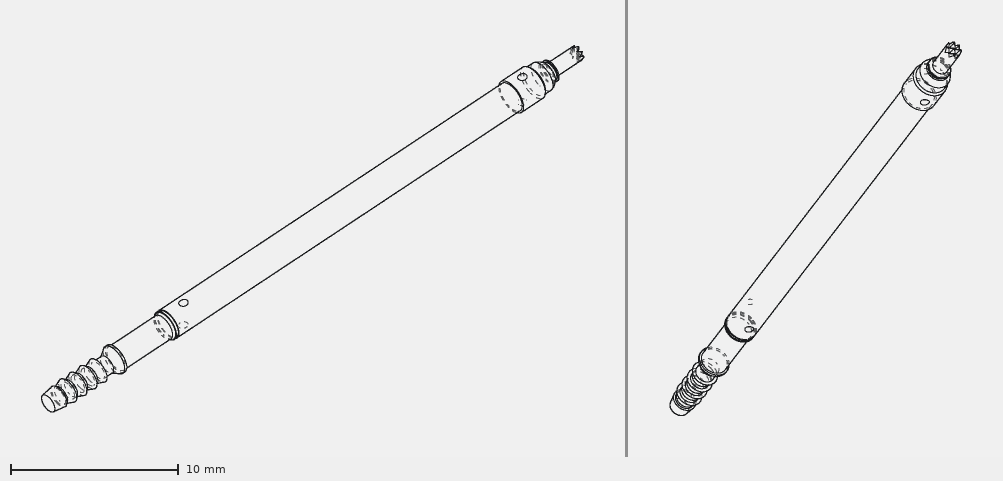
import cadquery as cq

length = 42.7
tip_y = length / 2
tail_y = -length / 2

plunger_dia = 1.0
nose_dia = 1.45
nose_groove_dia = 1.25
barrel_dia = 1.95
collar_dia = 2.2
barrel_groove_dia = 1.85
sleeve_dia = 1.65
bead_dia = 1.92
neck_dia = 1.2
barb_dia = 1.62
tail_rim_dia = 1.45
tail_dia = 1.2

nose_front = 2.15
nose_chamfer = 0.1
nose_ring_width = 0.1
nose_groove_width = 0.2
nose_dome_length = 0.43
nose_dome_bulge = 0.05
collar_front = 3.67
collar_chamfer = 0.13
collar_back = 5.42
barrel_back = 33.05
barrel_groove_width = 0.2
barrel_end_chamfer = 0.15
bead_front = 37.25
bead_width = 0.15
neck_front = 37.95
first_barb = 38.7
barb_pitch = 0.8
barb_taper = 0.55
barb_count = 4
tail_rim = 41.85

tooth_pitch = 0.4
tooth_groove_width = 0.3
tooth_depth = 0.3

dimple_dia = 0.6
dimple_depth = 0.13
collar_dimple = 4.53
barrel_dimple = 31.8


def at(station, diameter):
    """Profile point in the YZ plane, on the surface of the given diameter."""
    return (tip_y - station, diameter / 2)


def make_body():
    ring_front = nose_front + nose_chamfer
    ring_back = ring_front + nose_ring_width
    nose_back = ring_back + nose_groove_width
    groove_back = barrel_back + barrel_groove_width

    profile = (
        cq.Workplane("YZ")
        .moveTo(*at(0, 0))
        .lineTo(*at(0, plunger_dia))
        .lineTo(*at(nose_front, plunger_dia))
        .lineTo(*at(ring_front, nose_dia))
        .lineTo(*at(ring_back, nose_dia))
        .lineTo(*at(ring_back, nose_groove_dia))
        .lineTo(*at(nose_back, nose_groove_dia))
        .lineTo(*at(nose_back, nose_dia))
        .sagittaArc(at(nose_back + nose_dome_length, barrel_dia), -nose_dome_bulge)
        .lineTo(*at(collar_front - collar_chamfer, barrel_dia))
        .lineTo(*at(collar_front, collar_dia))
        .lineTo(*at(collar_back, collar_dia))
        .lineTo(*at(collar_back, barrel_dia))
        .lineTo(*at(barrel_back, barrel_dia))
        .lineTo(*at(barrel_back, barrel_groove_dia))
        .lineTo(*at(groove_back, barrel_groove_dia))
        .lineTo(*at(groove_back, barrel_dia))
        .lineTo(*at(groove_back + barrel_end_chamfer, sleeve_dia))
        .lineTo(*at(bead_front, sleeve_dia))
        .lineTo(*at(bead_front, bead_dia))
        .lineTo(*at(bead_front + bead_width, bead_dia))
        .lineTo(*at(neck_front, neck_dia))
    )
    for i in range(barb_count):
        barb = first_barb + i * barb_pitch
        profile = (
            profile.lineTo(*at(barb, neck_dia))
            .lineTo(*at(barb, barb_dia))
            .lineTo(*at(barb + barb_taper, neck_dia))
        )
    profile = (
        profile.lineTo(*at(tail_rim, neck_dia))
        .lineTo(*at(tail_rim, tail_rim_dia))
        .lineTo(tail_y, tail_dia / 2)
        .lineTo(tail_y, 0)
        .close()
    )
    return profile.revolve(360, (0, 0, 0), (1, 0, 0))


def make_tooth_groove(offset):
    """V groove across the plunger tip, running along Z at the given X."""
    return (
        cq.Workplane("XY")
        .polyline([
            (offset - tooth_groove_width / 2, tip_y),
            (offset, tip_y - tooth_depth),
            (offset + tooth_groove_width / 2, tip_y),
        ])
        .close()
        .extrude(plunger_dia, both=True)
    )


def make_dimple(station, shell_dia, side):
    """Spherical cutter for the top (side = 1) or bottom (side = -1) of the shell."""
    ball_radius = ((dimple_dia / 2) ** 2 + dimple_depth ** 2) / (2 * dimple_depth)
    height = shell_dia / 2 - dimple_depth + ball_radius
    return cq.Workplane("XY").sphere(ball_radius).translate((0, tip_y - station, side * height))


result = make_body()
for offset in (-tooth_pitch / 2, tooth_pitch / 2):
    groove = make_tooth_groove(offset)
    result = result.cut(groove)
    result = result.cut(groove.rotate((0, 0, 0), (0, 1, 0), 90))
for side in (1, -1):
    result = result.cut(make_dimple(collar_dimple, collar_dia, side))
    result = result.cut(make_dimple(barrel_dimple, barrel_dia, side))